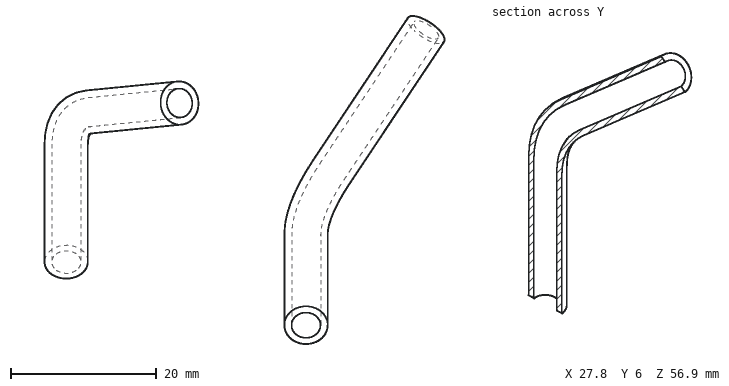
import cadquery as cq
import math

height = 56.9
outer_diameter = 6.0
bore_diameter = 4.0
bend_radius = 16.0
bend_angle = 45.0

sin_bend = math.sin(math.radians(bend_angle))
cos_bend = math.cos(math.radians(bend_angle))
leg_length = (height - (bend_radius + outer_diameter / 2) * sin_bend) / (1 + cos_bend)


def point_on_bend(angle):
    """Centreline point (x, z) after turning through the given angle in degrees."""
    turn = math.radians(angle)
    x = bend_radius * (1 - math.cos(turn))
    z = leg_length + bend_radius * math.sin(turn)
    return (x, z)


bend_end_x, bend_end_z = point_on_bend(bend_angle)
centreline = (
    cq.Workplane("XZ")
    .lineTo(0, leg_length)
    .threePointArc(point_on_bend(bend_angle / 2), (bend_end_x, bend_end_z))
    .lineTo(bend_end_x + leg_length * sin_bend, bend_end_z + leg_length * cos_bend)
)

result = (
    cq.Workplane("XY")
    .circle(outer_diameter / 2)
    .circle(bore_diameter / 2)
    .sweep(centreline)
)